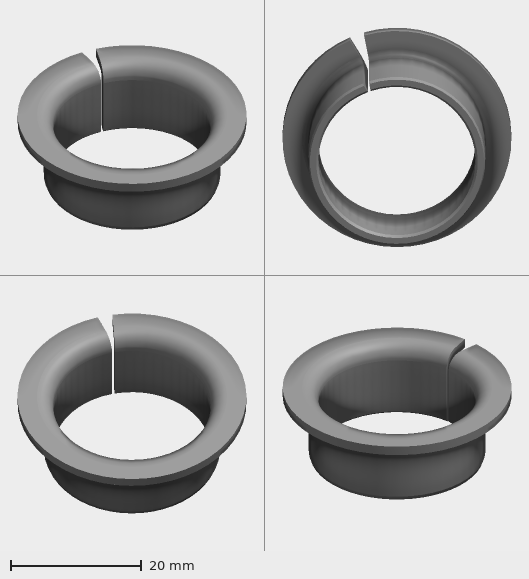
import cadquery as cq

flange_radius = 17.5
height = 12.0
wall = 1.5
bore_radius = 12.0
inner_bend = 2.52
outer_bend = inner_bend - wall
chamfer_height = 0.63
chamfer_width = 0.2
bore_chamfer = 0.35

split_outer_half_width = 1.15
split_bore_half_width = 0.2

sleeve_radius = bore_radius + wall
flange_bottom = height - wall


def bushing_body():
    """Revolve the L-shaped wall with its rounded bend."""
    profile = (
        cq.Workplane("XZ")
        .moveTo(bore_radius + bore_chamfer, 0)
        .lineTo(sleeve_radius - chamfer_width, 0)
        .lineTo(sleeve_radius, chamfer_height)
        .lineTo(sleeve_radius, flange_bottom - outer_bend)
        .radiusArc((sleeve_radius + outer_bend, flange_bottom), outer_bend)
        .lineTo(flange_radius, flange_bottom)
        .lineTo(flange_radius, height)
        .lineTo(bore_radius + inner_bend, height)
        .radiusArc((bore_radius, height - inner_bend), -inner_bend)
        .lineTo(bore_radius, bore_chamfer)
        .close()
    )
    body = profile.revolve(360, (0, 0, 0), (0, 1, 0))
    return body.rotate((0, 0, 0), (0, 0, 1), 180)


def split_wedge():
    """Cutter whose sides spread outward from the bore past the flange rim."""
    spread = (split_outer_half_width - split_bore_half_width) / (flange_radius - bore_radius)
    tip_radius = bore_radius - split_bore_half_width / spread
    end_radius = flange_radius + wall
    end_half_width = spread * (end_radius - tip_radius)
    return (
        cq.Workplane("XY")
        .moveTo(-tip_radius, 0)
        .lineTo(-end_radius, end_half_width)
        .lineTo(-end_radius, -end_half_width)
        .close()
        .extrude(height)
    )


result = bushing_body().cut(split_wedge())